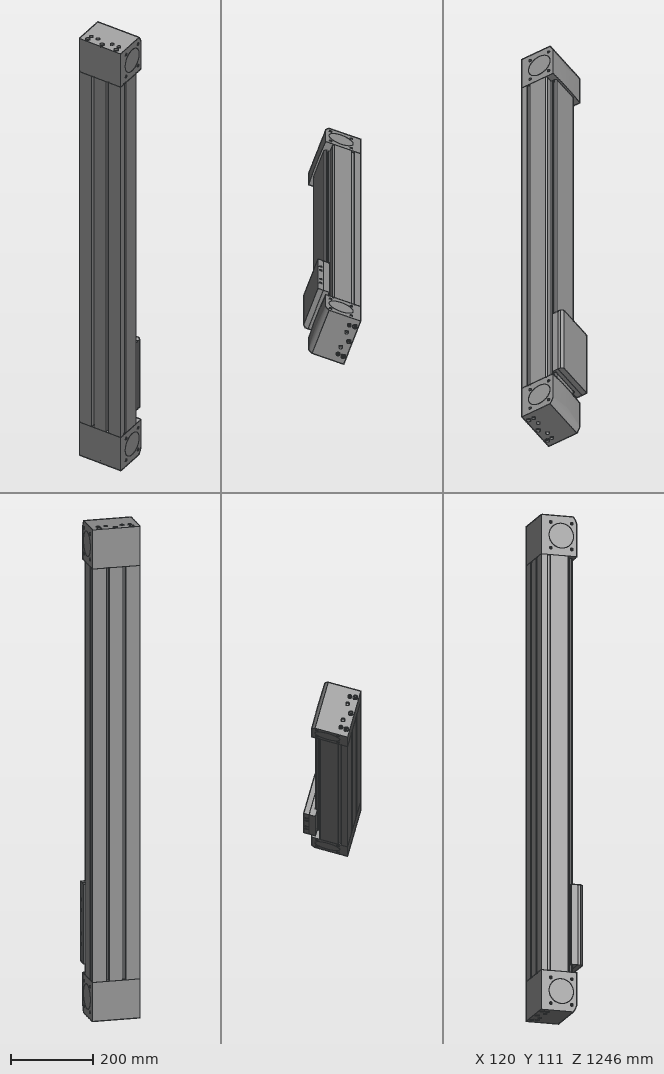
import cadquery as cq


axis_length = 1246.0
axis_width = 120.0
half_width = axis_width / 2
half_length = axis_length / 2

block_length = 100.0
block_side_height = 91.0
block_crown_rise = 1.9
block_crown_height = block_side_height + block_crown_rise
block_end_height = 82.0
block_shoulder = 32.0
block_bevel_height = 3.1
block_bevel_length = 0.6

cap_diameter = 62.0
cap_thickness = 5.0
pulley_height = 51.0
pulley_z = half_length - block_length / 2
cap_screw_diameter = 6.6
cap_screw_depth = 7.0
cap_screw_pitch_y = 54.0
cap_screw_pitch_z = 65.0

end_hole_height = 22.0
slot_hole_diameter = 9.0
end_hole_depth = 12.0
screw_hole_offset = 40.0
screw_hole_diameter = 9.0
screw_hole_bore = 4.1
foot_hole_height = 9.0
foot_hole_offset = 41.0
foot_hole_diameter = 11.0
foot_hole_bore = 4.9
counterbore_depth = 6.0

profile_length = axis_length - 2 * block_length
base_height = 69.0
rail_top = 87.0
rail_half_width = 40.0
rail_groove_depth = 5.0
rail_step = 4.0
shoulder_width = 4.0
slot_spacing = 41.0
slot_width = 7.0
slot_depth = 10.0
slot_notch_depth = 1.0
side_slot_height = 20.0
side_slot_width = 7.0
side_slot_depth = 4.0

carriage_length = 202.0
carriage_centre_z = -399.0
carriage_right = 47.0
carriage_bottom = 81.0
table_bottom = 97.0
table_top = 111.0
table_chamfer = 6.0
rail_clearance = 1.0
table_hole_height = 103.0
table_hole_diameter = 7.0
table_hole_depth = 12.0
table_hole_offsets = (-56.0, -30.0, 30.0, 56.0)


def cylinder_x(diameter, x_start, length, y, z):
    return (
        cq.Workplane("YZ", origin=(x_start, 0, 0))
        .center(y, z)
        .circle(diameter / 2)
        .extrude(length)
    )


def cylinder_z(diameter, x, y, depth):
    """Cylinder sunk into the top end of the axis."""
    return (
        cq.Workplane("XY", origin=(0, 0, half_length - depth))
        .center(x, y)
        .circle(diameter / 2)
        .extrude(depth)
    )


def make_profile():
    slot_floor = slot_depth + slot_notch_depth
    rail_foot = base_height + rail_step
    right_half = [
        (0, 0),
        (half_width, 0),
        (half_width, base_height),
        (half_width - shoulder_width, rail_foot),
        (rail_half_width, rail_foot),
        (rail_half_width, rail_foot + rail_step),
        (rail_half_width - rail_groove_depth, rail_foot + rail_step),
        (rail_half_width - rail_groove_depth, rail_foot + 2 * rail_step),
        (rail_half_width, rail_foot + 2 * rail_step),
        (rail_half_width, rail_foot + 3 * rail_step),
        (rail_half_width - rail_step, rail_top),
        (0, rail_top),
    ]
    bar = (
        cq.Workplane("XY", origin=(0, 0, -profile_length / 2))
        .polyline(right_half)
        .close()
        .extrude(profile_length)
    )
    bar = bar.union(bar.mirror("YZ"))
    for side in (-1, 1):
        x = side * slot_spacing / 2
        slot = (
            cq.Workplane("XY", origin=(x, 0, -profile_length / 2))
            .polyline([
                (-slot_width / 2, 0),
                (slot_width / 2, 0),
                (slot_width / 2, slot_depth),
                (0, slot_floor),
                (-slot_width / 2, slot_depth),
            ])
            .close()
            .extrude(profile_length)
        )
        side_slot = cq.Workplane("XY").box(2 * side_slot_depth, side_slot_width, profile_length)
        bar = bar.cut(slot).cut(side_slot.translate((side * half_width, side_slot_height, 0)))
    return bar


def block_body():
    """Block with its back face rounded towards the outer end and crowned across the width."""
    inner_z = half_length - block_length
    shoulder_z = half_length - block_shoulder
    side_outline = (
        cq.Workplane("YZ", origin=(-half_width, 0, 0))
        .moveTo(0, inner_z)
        .lineTo(block_crown_height, inner_z)
        .lineTo(block_crown_height, shoulder_z)
        .tangentArcPoint((block_end_height, half_length), relative=False)
        .lineTo(block_bevel_height, half_length)
        .lineTo(0, half_length - block_bevel_length)
        .close()
        .extrude(axis_width)
    )
    crowned_outline = (
        cq.Workplane("XY", origin=(0, 0, inner_z))
        .moveTo(-half_width, 0)
        .lineTo(half_width, 0)
        .lineTo(half_width, block_side_height)
        .threePointArc((0, block_crown_height), (-half_width, block_side_height))
        .close()
        .extrude(block_length)
    )
    return side_outline.intersect(crowned_outline)


def make_cap(side):
    x_start = half_width - cap_thickness if side > 0 else -half_width
    return cylinder_x(cap_diameter, x_start, cap_thickness, pulley_height, pulley_z)


def make_end_block():
    """End block at the top of the axis."""
    block = block_body()
    for side in (-1, 1):
        block = block.cut(make_cap(side))
        x_start = half_width - cap_screw_depth if side > 0 else -half_width
        for dy in (-cap_screw_pitch_y / 2, cap_screw_pitch_y / 2):
            for dz in (-cap_screw_pitch_z / 2, cap_screw_pitch_z / 2):
                block = block.cut(cylinder_x(
                    cap_screw_diameter, x_start, cap_screw_depth, pulley_height + dy, pulley_z + dz))
        block = block.cut(cylinder_z(
            slot_hole_diameter, side * slot_spacing / 2, end_hole_height, end_hole_depth))
        x = side * screw_hole_offset
        block = block.cut(cylinder_z(screw_hole_diameter, x, end_hole_height, counterbore_depth))
        block = block.cut(cylinder_z(screw_hole_bore, x, end_hole_height, end_hole_depth))
    for x in (-foot_hole_offset, 0, foot_hole_offset):
        block = block.cut(cylinder_z(foot_hole_diameter, x, foot_hole_height, counterbore_depth))
        block = block.cut(cylinder_z(foot_hole_bore, x, foot_hole_height, end_hole_depth))
    return block


def carriage_box(y_bottom, y_top):
    width = half_width + carriage_right
    return (
        cq.Workplane("XY")
        .box(width, y_top - y_bottom, carriage_length, centered=(False, False, True))
        .translate((-half_width, y_bottom, carriage_centre_z))
    )


def make_carriage_base():
    channel = cq.Workplane("XY").box(
        2 * (rail_half_width + rail_clearance), rail_top - carriage_bottom, carriage_length,
        centered=(True, False, True))
    channel = channel.translate((0, carriage_bottom, carriage_centre_z))
    return carriage_box(carriage_bottom, table_bottom).cut(channel)


def make_table():
    table = carriage_box(table_bottom, table_top)
    table = table.edges(">X and >Y").chamfer(table_chamfer)
    for offset in table_hole_offsets:
        table = table.cut(cylinder_x(
            table_hole_diameter, -half_width, table_hole_depth,
            table_hole_height, carriage_centre_z + offset))
    return table


profile = make_profile()
carriage_base = make_carriage_base()
table = make_table()

top_block = make_end_block()
end_blocks = [top_block, top_block.mirror("XY")]

caps = []
for side in (-1, 1):
    top_cap = make_cap(side)
    caps.append(top_cap)
    caps.append(top_cap.mirror("XY"))

bodies = [profile, carriage_base, table, *end_blocks, *caps]
result = cq.Compound.makeCompound([body.val() for body in bodies])